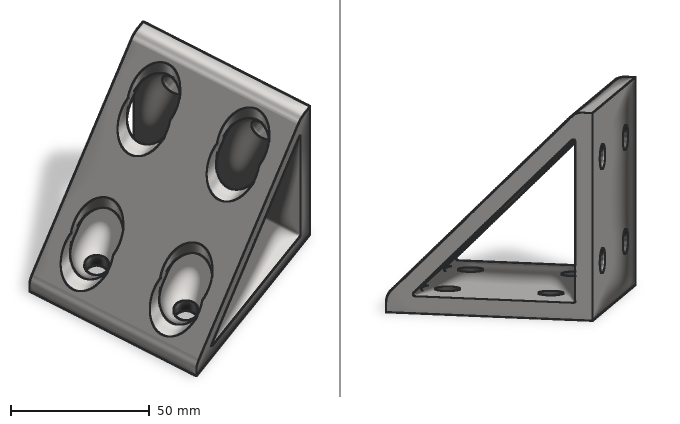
import cadquery as cq

leg = 76.2
width = 71.4
wall = 6.3
toe_land = 6.3
toe_radius = 6.3
cavity_radius = 0.8
bolt_diameter = 9.0
access_diameter = 19.2
bolt_spacing = 38.1

slope_offset = toe_land
cavity_leg = leg + toe_land - wall * (2 + 2**0.5)
cavity_back = leg - wall


def make_body():
    """Triangular bracket with blunt, rounded toes."""
    outline = [
        (0, 0),
        (leg, 0),
        (leg, leg),
        (leg - toe_land, leg),
        (0, slope_offset),
    ]
    body = cq.Workplane("YZ").polyline(outline).close().extrude(width)
    toe_points = [(width / 2, leg - toe_land, leg), (width / 2, 0, slope_offset)]
    for point in toe_points:
        body = body.edges(cq.NearestToPointSelector(point)).fillet(toe_radius)
    return body


def make_cavity():
    """Triangular opening running through the full width."""
    outline = [
        (cavity_back, wall),
        (cavity_back, wall + cavity_leg),
        (cavity_back - cavity_leg, wall),
    ]
    cavity = cq.Workplane("YZ").polyline(outline).close().extrude(width)
    return cavity.edges("|X").fillet(cavity_radius)


def drill(body, start, direction):
    """Bolt hole through a leg, with an access bore beyond its inner face."""
    origin = cq.Vector(*start)
    axis = cq.Vector(*direction)
    bolt = cq.Solid.makeCylinder(bolt_diameter / 2, leg, origin, axis)
    access = cq.Solid.makeCylinder(access_diameter / 2, leg, origin + axis * wall, axis)
    return body.cut(cq.Workplane(bolt)).cut(cq.Workplane(access))


result = make_body().cut(make_cavity())

half_spacing = bolt_spacing / 2
for x in (width / 2 - half_spacing, width / 2 + half_spacing):
    for along_leg in (leg / 2 - half_spacing, leg / 2 + half_spacing):
        result = drill(result, (x, leg, along_leg), (0, -1, 0))
        result = drill(result, (x, along_leg, 0), (0, 0, 1))